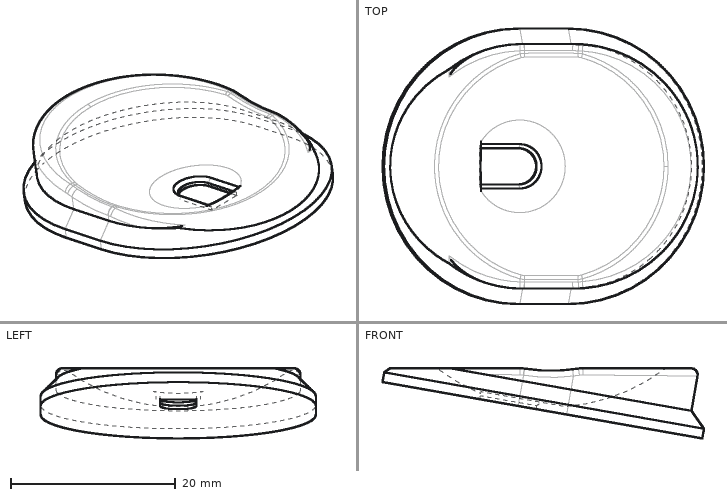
import cadquery as cq
import math

tilt = 10.0
total_height = 8.6
base_radius = 16.8
straight_length = 6.0
rim_height = 1.2
taper = 1.9
collar_radius = base_radius - taper
base_length = straight_length + 2 * base_radius

bowl_x = 0.98
bowl_radius = 22.9
bowl_mouth_radius = 13.95
bowl_center_z = math.sqrt(bowl_radius**2 - bowl_mouth_radius**2)
floor_radius = 5.65
floor_drop = math.sqrt(bowl_radius**2 - floor_radius**2)

dip_depth = 0.3
dip_width = 7.05
dip_radius = (dip_width**2 / 4 + dip_depth**2) / (2 * dip_depth)
dip_end_radius = 3.15
edge_radius = 0.82
edge_search_margin = 0.2
skirt_inset = 0.98

slot_half_width = 2.2
slot_flat_end = 4.8
slot_chamfer = 0.5
slot_reach = 1.95

oversize = 58.8

slope = math.radians(tilt)
base_center_x = -19.6 + base_length / 2 * math.cos(slope)
base_center_z = -total_height + base_length / 2 * math.sin(slope)
normal = (math.sin(slope), 0, math.cos(slope))
slope_direction = (math.cos(slope), 0, -math.sin(slope))
base_plane = cq.Plane((base_center_x, 0, base_center_z), slope_direction, normal)
floor_center = (
    bowl_x - floor_drop * normal[0],
    0,
    bowl_center_z - floor_drop * normal[2],
)
floor_plane = cq.Plane(floor_center, slope_direction, normal)


def oblong(radius):
    return cq.Workplane(base_plane).slot2D(straight_length + 2 * radius, 2 * radius)


def make_top_cutter():
    return cq.Workplane("XY").box(oversize, oversize, oversize, centered=(True, True, False))


def make_bowl():
    sphere = cq.Workplane("XY").sphere(bowl_radius).translate((bowl_x, 0, bowl_center_z))
    floor_fill = (
        cq.Workplane(floor_plane)
        .center(oversize / 2 - slot_flat_end, 0)
        .rect(oversize, oversize)
        .extrude(-oversize)
    )
    return sphere.cut(floor_fill)


def make_collar(block):
    dip = (
        cq.Workplane("XZ")
        .center(bowl_x, dip_radius - dip_depth)
        .circle(dip_radius)
        .extrude(oversize, both=True)
    )
    near_top = cq.selectors.BoxSelector(
        (-oversize, -oversize, -dip_depth - edge_search_margin),
        (oversize, oversize, edge_search_margin),
    )
    collar = block.cut(make_bowl()).cut(dip)
    collar = collar.edges(near_top).edges("|Y").fillet(dip_end_radius)
    return collar.edges(near_top).edges("not |Y").fillet(edge_radius)


def make_skirt():
    core = oblong(collar_radius - skirt_inset).extrude(2 * total_height)
    rim = oblong(base_radius).extrude(rim_height)
    slope_ring = (
        oblong(base_radius).extrude(taper, taper=45).translate(cq.Vector(*normal) * rim_height)
    )
    return rim.union(slope_ring).cut(make_top_cutter()).cut(core)


def make_slot():
    full_length = 2 * slot_flat_end
    deep = (
        cq.Workplane(floor_plane)
        .slot2D(full_length + 2 * slot_half_width, 2 * slot_half_width)
        .extrude(slot_reach, both=True)
    )
    flare_half_width = slot_half_width + slot_chamfer
    flare_profile = cq.Workplane(floor_plane).slot2D(
        full_length + 2 * flare_half_width, 2 * flare_half_width
    )
    flare = flare_profile.extrude(-slot_chamfer, taper=45)
    slot = deep.union(flare).translate(cq.Vector(*slope_direction) * -slot_flat_end)
    flat_end_limit = (
        cq.Workplane(floor_plane)
        .center(oversize / 2 - slot_flat_end, 0)
        .rect(oversize, oversize)
        .extrude(oversize, both=True)
    )
    return slot.intersect(flat_end_limit)


collar_block = oblong(collar_radius).extrude(2 * total_height).cut(make_top_cutter())
result = make_collar(collar_block).union(make_skirt()).cut(make_slot())